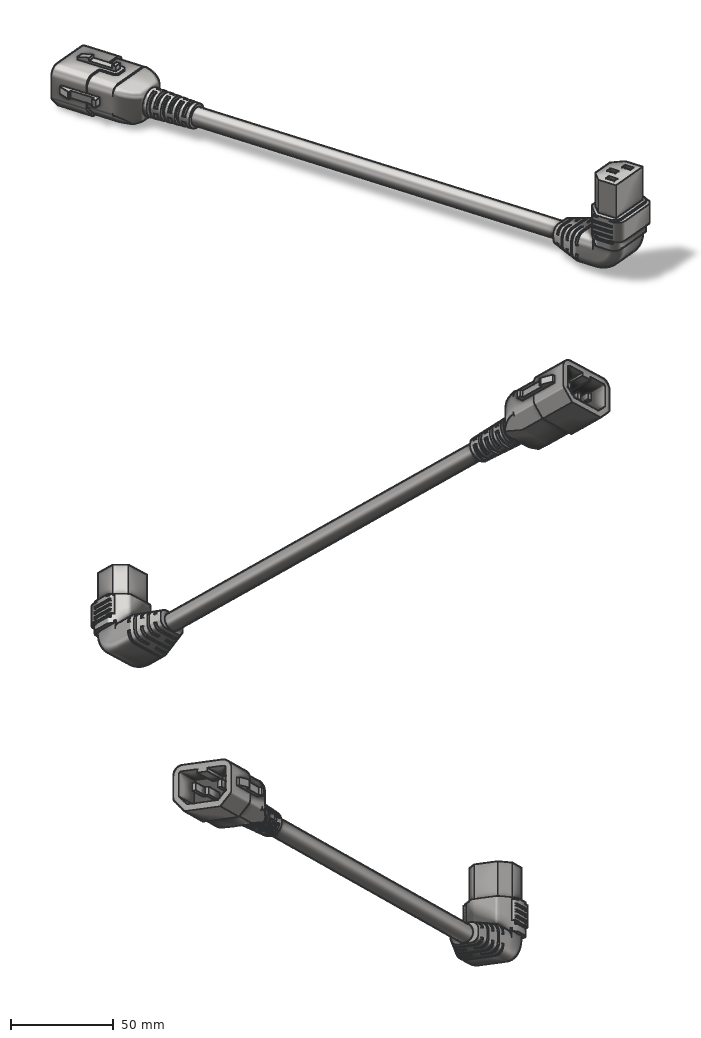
import cadquery as cq
import math

total_length = 331.95
total_height = 53.57
latch_span = 38.7

selection_margin = 1.0
slot_reach = 20.0

cable_radius = 4.75
cable_start = 74.5
cable_end = 288.3

shell_length = 20.5
shell_half_width = 15.75
shell_half_height = 11.8
shell_corner_radius = 5.0
shell_chamfer_y = 6.0
shell_chamfer_z = 6.4
shell_chamfer_blend = 2.5
mouth_half_width = 12.7
mouth_top = 8.6
mouth_bottom = -8.5
mouth_depth = 17.0
mouth_key_width = 5.4
mouth_key_bottom = 6.8
mouth_chamfer = 4.5
mouth_corner_radius = 1.5
tongue_end = 30.7
tongue_half_width = 4.2
tongue_corner = 2.0

pin_recess = 5.0
pin_thickness = 2.0
pin_width = 4.0
pin_spacing = 7.0
live_pin_z = 1.6
earth_pin_z = -1.4

latch_start = 6.0
latch_ramp_end = 12.2
latch_crest_end = 12.9
latch_hook_start = 26.3
latch_end = 28.5
latch_width = 4.0
latch_arm_drop = 1.6
latch_lead_in = 1.4
side_latch_crest = latch_span / 2
top_latch_crest = 14.7

overmould_step_y = 0.8
overmould_step_z = 0.9
overmould_half_width = shell_half_width - overmould_step_y
overmould_half_height = shell_half_height - overmould_step_z
grip_end = 35.5
taper_end = 48.0
taper_top = 10.2
taper_half_size = 7.5
taper_edge_radius = 3.0
boot_end_radius = 6.4
boot_slot_width = 2.0
boot_slot_first = 51.2
boot_slot_pitch = 4.0
boot_slot_count = 6
boot_core_radius = 5.2
boot_bridge = 2.8

sleeve_end = 304.5
sleeve_start_half_width = 7.6
sleeve_start_half_height = 5.2
sleeve_start_radius = 4.0
elbow_half_width = 12.6
elbow_half_height = 8.1
elbow_corner_radius = 5.0
elbow_outer_radius = 15.0
sleeve_slot_width = 1.1
sleeve_slot_first = 291.3
sleeve_slot_pitch = 3.5
sleeve_slot_count = 5
sleeve_core_radius = 5.0
sleeve_bridge = 5.0
head_start = 310.2
head_end = 329.8
head_half_width = 14.5
head_bottom = 6.7
head_chamfer = 7.4
head_chamfer_blend = 3.0
head_corner_radius = 4.3
insert_start = 312.0
insert_end = 327.7
insert_half_width = 11.7
insert_chamfer = 5.3
insert_height = 18.1
connector_top = total_height - shell_half_height
head_top = connector_top - insert_height
flange_start = 315.4
flange_front_radius = 1.5
flange_bottom = 12.0
flange_top = 22.7
groove_first_z = 11.0
groove_pitch = 3.0
groove_count = 4
groove_width = 1.2
groove_depth = 1.0
groove_start = 316.3
groove_end = 327.2
contact_length = 5.0
contact_width = 3.0
contact_depth = 17.0
outer_contact_x = 322.0
earth_contact_x = 318.0


def box(x0, x1, y0, y1, z0, z1):
    return cq.Workplane("XY").box(x1 - x0, y1 - y0, z1 - z0, centered=False).translate((x0, y0, z0))


def inlet_prism(half_width, top, bottom, chamfer_y, chamfer_z, x0, x1):
    """Prism along X whose section is a rectangle with its two lower corners cut off."""
    right_half = [(half_width, top), (half_width, bottom + chamfer_z), (half_width - chamfer_y, bottom)]
    left_half = [(-y, z) for y, z in reversed(right_half)]
    return cq.Workplane("YZ", origin=(x0, 0, 0)).polyline(right_half + left_half).close().extrude(x1 - x0)


def plug_prism(half_width, half_height, x0, x1):
    """Inlet prism with its upper corners and its chamfer corners rounded."""
    prism = inlet_prism(half_width, half_height, -half_height, shell_chamfer_y, shell_chamfer_z, x0, x1)
    prism = prism.edges("|X and >Z").fillet(shell_corner_radius)
    corner_z = shell_chamfer_z - half_height
    corners = cq.selectors.BoxSelector(
        (x0, -half_width - selection_margin, corner_z - selection_margin),
        (x1, half_width + selection_margin, corner_z + selection_margin),
    )
    return prism.edges("|X").edges(corners).fillet(shell_chamfer_blend)


def latch(base, crest):
    """Latch standing up in Z: ramped catch, thin arm and finger hook at the free end."""
    arm = crest - latch_arm_drop
    points = [
        (latch_start, base),
        (latch_start, base + latch_lead_in),
        (latch_ramp_end, crest),
        (latch_crest_end, crest),
        (latch_crest_end, arm),
        (latch_hook_start, arm),
        (latch_hook_start, crest),
        (latch_end, crest),
        (latch_end, base),
    ]
    return cq.Workplane("XZ").polyline(points).close().extrude(latch_width / 2, both=True)


def make_shell():
    """Front half of the plug with its mouth, pins, tongue and latches."""
    body = plug_prism(shell_half_width, shell_half_height, 0, shell_length)

    mouth = inlet_prism(
        mouth_half_width, mouth_top, mouth_bottom, mouth_chamfer, mouth_chamfer, 0, mouth_depth
    )
    body = body.cut(mouth.edges("|X and >Z").fillet(mouth_corner_radius))

    key = box(
        0, mouth_depth, -mouth_key_width / 2, mouth_key_width / 2, mouth_key_bottom, mouth_top
    )
    body = body.union(key)

    pins = [(-pin_spacing, live_pin_z), (pin_spacing, live_pin_z), (0, earth_pin_z)]
    for y, z in pins:
        body = body.union(
            box(
                pin_recess, mouth_depth,
                y - pin_thickness / 2, y + pin_thickness / 2,
                z - pin_width / 2, z + pin_width / 2,
            )
        )

    tongue = box(
        shell_length, tongue_end,
        -tongue_half_width, tongue_half_width,
        overmould_half_height, shell_half_height,
    )
    body = body.union(tongue.edges("|Z and >X").fillet(tongue_corner))

    body = body.union(latch(shell_half_height, top_latch_crest))
    side_latch = latch(shell_half_width, side_latch_crest)
    for angle in (90, -90):
        turned = side_latch.rotate((0, 0, 0), (1, 0, 0), angle)
        body = body.union(turned.translate((0, 0, live_pin_z)))
    return body


def slot_ring(x, width, core_radius, bridge, open_to_sides):
    """Slot around the core, interrupted by a bridge so that it opens to +-Y or to +-Z only."""
    ring = box(x - width / 2, x + width / 2, -slot_reach, slot_reach, -slot_reach, slot_reach)
    core = cq.Workplane("YZ", origin=(x - width, 0, 0)).circle(core_radius).extrude(2 * width)
    if open_to_sides:
        bar = box(x - width, x + width, -bridge / 2, bridge / 2, -slot_reach, slot_reach)
    else:
        bar = box(x - width, x + width, -slot_reach, slot_reach, -bridge / 2, bridge / 2)
    return ring.cut(core).cut(bar)


def make_taper():
    """Rear of the overmould: closes in on the boot by arcs in plan and by slopes from the side."""
    arc_length_x = taper_end - grip_end
    arc_drop = overmould_half_width - taper_half_size
    arc_radius = (arc_length_x**2 + arc_drop**2) / (2 * arc_drop)
    half_angle = math.asin(arc_length_x / arc_radius) / 2
    mid_x = grip_end + arc_radius * math.sin(half_angle)
    mid_y = overmould_half_width - arc_radius * (1 - math.cos(half_angle))
    plan = (
        cq.Workplane("XY")
        .moveTo(grip_end, -overmould_half_width)
        .threePointArc((mid_x, -mid_y), (taper_end, -taper_half_size))
        .lineTo(taper_end, taper_half_size)
        .threePointArc((mid_x, mid_y), (grip_end, overmould_half_width))
        .close()
        .extrude(shell_half_height, both=True)
        .edges("|Z and >X")
        .fillet(taper_edge_radius)
    )
    side = (
        cq.Workplane("XZ")
        .polyline(
            [
                (grip_end, -overmould_half_height),
                (taper_end, -taper_half_size),
                (taper_end, taper_half_size),
                (grip_end, taper_top),
            ]
        )
        .close()
        .extrude(shell_half_width, both=True)
    )
    chamfered = inlet_prism(
        overmould_half_width, overmould_half_height, -overmould_half_height,
        shell_chamfer_y, shell_chamfer_z, grip_end, taper_end,
    )
    taper = plan.intersect(side).intersect(chamfered)
    upper_curves = cq.selectors.BoxSelector(
        (grip_end + selection_margin, -shell_half_width, taper_half_size / 2),
        (taper_end + selection_margin, shell_half_width, shell_half_height),
    )
    return taper.edges(upper_curves).fillet(taper_edge_radius)


def make_overmould():
    """Grip behind the shell, its taper and the slotted boot around the cable end."""
    body = plug_prism(overmould_half_width, overmould_half_height, shell_length, grip_end)
    body = body.union(make_taper())

    boot = (
        cq.Workplane("YZ", origin=(taper_end, 0, 0))
        .circle(taper_half_size)
        .workplane(offset=cable_start - taper_end)
        .circle(boot_end_radius)
        .loft()
    )
    for i in range(boot_slot_count):
        x = boot_slot_first + i * boot_slot_pitch
        boot = boot.cut(
            slot_ring(x, boot_slot_width, boot_core_radius, boot_bridge, i % 2 == 0)
        )
    return body.union(boot)


def make_cable():
    return (
        cq.Workplane("YZ", origin=(cable_start, 0, 0))
        .circle(cable_radius)
        .extrude(cable_end - cable_start)
    )


def rounded_section(half_width, half_height, radius):
    return cq.Sketch().rect(2 * half_width, 2 * half_height).vertices().fillet(radius)


def make_sleeve():
    """Tapered strain relief that widens from the cable to the elbow."""
    start = rounded_section(sleeve_start_half_width, sleeve_start_half_height, sleeve_start_radius)
    end = rounded_section(elbow_half_width, elbow_half_height, elbow_corner_radius)
    return (
        cq.Workplane("YZ", origin=(cable_end, 0, 0))
        .placeSketch(start, end.moved(cq.Location(cq.Vector(0, 0, sleeve_end - cable_end))))
        .loft()
    )


def make_elbow():
    """Straight rounded stretch and a quarter bend up to the head."""
    bend_x = head_end - elbow_outer_radius
    straight = (
        cq.Workplane("YZ", origin=(sleeve_end, 0, 0))
        .placeSketch(rounded_section(elbow_half_width, elbow_half_height, elbow_corner_radius))
        .extrude(bend_x - sleeve_end)
    )
    bend_z = elbow_outer_radius - elbow_half_height
    diagonal = elbow_outer_radius / math.sqrt(2)
    bend = (
        cq.Workplane("XZ")
        .moveTo(bend_x, -elbow_half_height)
        .threePointArc((bend_x + diagonal, bend_z - diagonal), (head_end, bend_z))
        .lineTo(head_end, elbow_half_height)
        .lineTo(bend_x, elbow_half_height)
        .close()
        .extrude(elbow_half_width, both=True)
        .edges("%CIRCLE")
        .fillet(elbow_corner_radius)
    )
    return straight.union(bend)


def outlet_prism(x0, x1, half_width, chamfer, z0, z1):
    """Upright prism with the two vertical edges facing -X cut off."""
    return box(x0, x1, -half_width, half_width, z0, z1).edges("|Z and <X").chamfer(chamfer)


def make_head():
    """Upright block above the elbow with its flange and finger grooves."""
    head = outlet_prism(head_start, head_end, head_half_width, head_chamfer, head_bottom, head_top)
    head = head.edges("|Z and >X").fillet(head_corner_radius)
    chamfer_edges = cq.selectors.BoxSelector(
        (head_start - selection_margin, -head_half_width - selection_margin, head_bottom),
        (head_start + head_chamfer + selection_margin, head_half_width + selection_margin, head_top),
    )
    head = head.edges("|Z").edges(chamfer_edges).fillet(head_chamfer_blend)
    flange = box(
        flange_start, total_length, -head_half_width, head_half_width, flange_bottom, flange_top
    )
    flange = flange.edges("|Z and >X").fillet(head_corner_radius)
    flange = flange.edges("|Z and <X").fillet(flange_front_radius)
    head = head.union(flange)
    for i in range(groove_count):
        z = groove_first_z + i * groove_pitch
        for side in (-1, 1):
            groove = cq.Workplane("XY").box(
                groove_end - groove_start, 2 * groove_depth, groove_width
            )
            middle_x = (groove_start + groove_end) / 2
            head = head.cut(groove.translate((middle_x, side * head_half_width, z)))
    return head


def make_connector():
    """Right-angled outlet: slotted sleeve, elbow, head and insert with three contact slots."""
    body = make_sleeve().union(make_elbow())
    for i in range(sleeve_slot_count):
        x = sleeve_slot_first + i * sleeve_slot_pitch
        body = body.cut(
            slot_ring(
                x, sleeve_slot_width, sleeve_core_radius, sleeve_bridge, i % 2 == 1
            )
        )
    body = body.union(make_head())

    insert = outlet_prism(
        insert_start, insert_end, insert_half_width, insert_chamfer, head_top, connector_top
    )
    body = body.union(insert)
    contacts = [(outer_contact_x, -pin_spacing), (outer_contact_x, pin_spacing), (earth_contact_x, 0)]
    for x, y in contacts:
        slot = cq.Workplane("XY").box(
            contact_length, contact_width, contact_depth, centered=(True, True, False)
        )
        body = body.cut(slot.translate((x, y, connector_top - contact_depth)))
    return body


shell = make_shell()
overmould = make_overmould()
cable = make_cable()
connector = make_connector()

result = cq.Compound.makeCompound([shell.val(), overmould.val(), cable.val(), connector.val()])